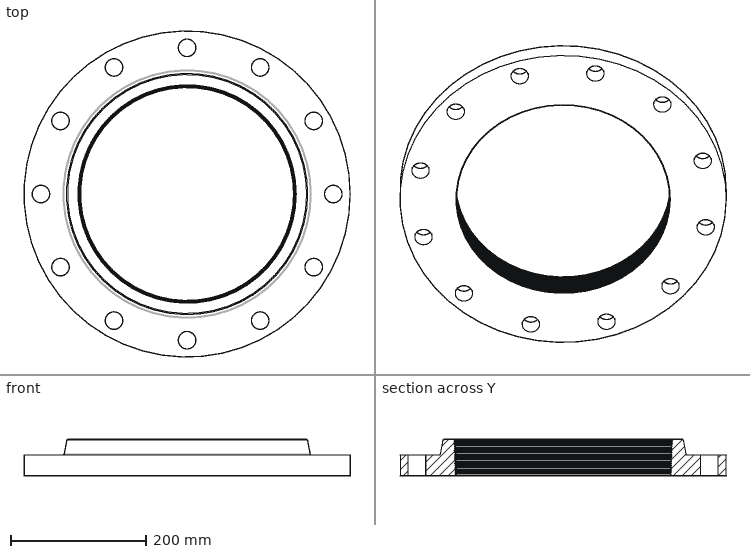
import cadquery as cq

flange_diameter = 482.5
flange_thickness = 31.0
overall_height = 54.0

hub_base_radius = 182.5
hub_top_radius = 178.0
hub_top_chamfer = 1.5
hub_root_fillet = 1.5

bolt_count = 12
bolt_circle_radius = 216.0
bolt_hole_diameter = 25.5

thread_count = 17
thread_pitch = overall_height / thread_count
thread_depth = 2.5
bore_taper = 1 / 32
bottom_crest_radius = 157.5


def revolve_about_z(profile):
    """Turn a closed (radius, height) profile about the Z axis."""
    return cq.Workplane("XZ").polyline(profile).close().revolve(360, (0, 0, 0), (0, 1, 0))


def make_body():
    """Flange plate with the tapered hub, still without a bore."""
    plate = cq.Workplane("XY").circle(flange_diameter / 2).extrude(flange_thickness)
    hub = revolve_about_z([
        (0, flange_thickness),
        (hub_base_radius, flange_thickness),
        (hub_top_radius, overall_height),
        (0, overall_height),
    ])
    body = plate.union(hub)
    hub_root = cq.selectors.RadiusNthSelector(1)
    body = body.edges("%CIRCLE").edges(hub_root).fillet(hub_root_fillet)
    return body.faces(">Z").edges().chamfer(hub_top_chamfer)


def crest_radius(height):
    """Radius of the thread crests at a height above the bottom face."""
    return bottom_crest_radius + bore_taper * height


def make_threaded_bore():
    """Tapered bore cutter with one V groove per thread; both ends fall at mid-flank."""
    mid_flank = thread_depth / 2
    profile = [(0, 0), (crest_radius(0) + mid_flank, 0)]
    for turn in range(thread_count):
        crest_height = (turn + 0.25) * thread_pitch
        root_height = (turn + 0.75) * thread_pitch
        profile.append((crest_radius(crest_height), crest_height))
        profile.append((crest_radius(root_height) + thread_depth, root_height))
    profile.append((crest_radius(overall_height) + mid_flank, overall_height))
    profile.append((0, overall_height))
    return revolve_about_z(profile)


def make_bolt_holes():
    """Cutters for the evenly spaced bolt holes through the plate."""
    return (
        cq.Workplane("XY")
        .polarArray(bolt_circle_radius, 0, 360, bolt_count)
        .circle(bolt_hole_diameter / 2)
        .extrude(flange_thickness)
    )


result = make_body().cut(make_threaded_bore()).cut(make_bolt_holes())